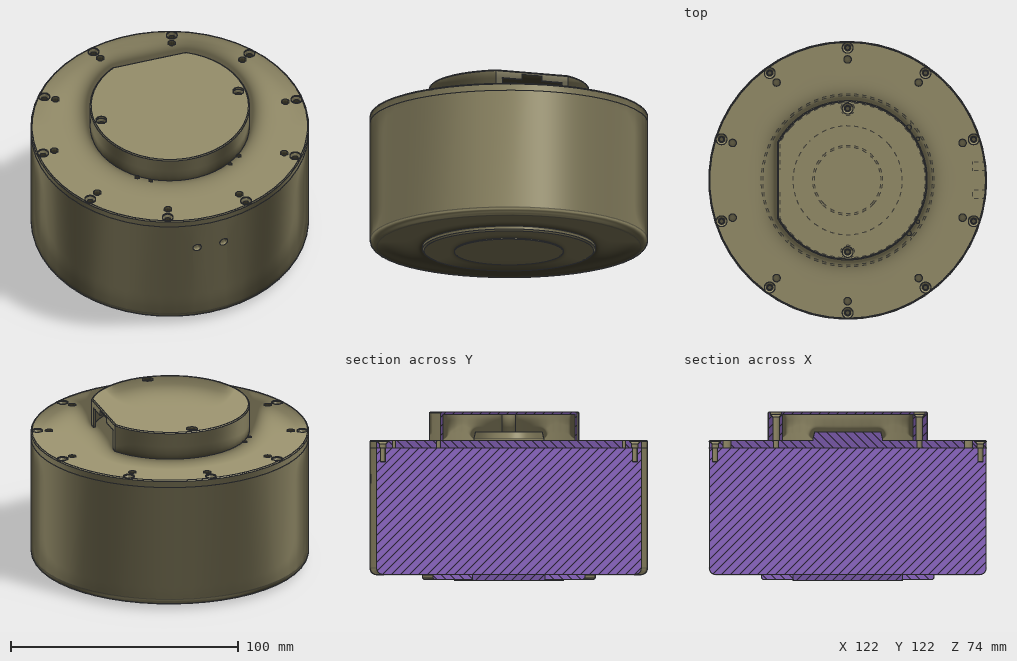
import cadquery as cq
import math

overall_height = 74.0
cap_projection = 0.5
flange_thickness = 2.1
lid_thickness = 3.3
cover_height = 12.5
flange_bottom = cap_projection
housing_bottom = flange_bottom + flange_thickness
lid_top = overall_height - cover_height
lid_bottom = lid_top - lid_thickness

body_diameter = 122.0
housing_fillet = 3.0
edge_chamfer = 0.5
side_hole_diameter = 3.7
side_hole_height = 44.8
side_hole_y = 6.1
side_hole_depth = 6.1

countersink_diameter = 4.8
clearance_diameter = 2.7
lid_sink_depth = 0.5
cover_sink_depth = 1.2
thread_diameter = 2.0
thread_depth = 6.1
rim_hole_count = 10
rim_screw_radius = 58.2
rim_start_angle = 90.0

mounting_hole_diameter = 3.3
mounting_hole_radius = 53.1
large_locating_diameter = 2.1
large_locating_x = 27.0
large_locating_y = 23.3
small_locating_diameter = 1.6
small_locating_x = 30.9
small_locating_y = 18.2

hub_base_diameter = 30.7
hub_top_diameter = 29.3
hub_base_height = 0.7
hub_height = 3.7

cover_diameter = 70.0
cover_wall = 1.0
cover_roof = 1.2
cover_flat_x = -30.7
cover_screw_y = 31.5
cover_post_diameter = 6.0
opening_width = 27.7
opening_height = cover_height - 3.4
key_width = 9.3
key_height = cover_height - cover_roof

flange_diameter = 76.0
flange_chamfer = 0.7
cap_diameter = 48.0


def disc(diameter, bottom, height):
    return cq.Workplane("XY").workplane(offset=bottom).circle(diameter / 2).extrude(height)


def rim_points(radius):
    points = []
    for index in range(rim_hole_count):
        angle = math.radians(rim_start_angle + index * 360.0 / rim_hole_count)
        points.append((radius * math.cos(angle), radius * math.sin(angle)))
    return points


def drill_down(body, points, diameter, top, depth):
    holes = cq.Workplane("XY").workplane(offset=top).pushPoints(points).circle(diameter / 2).extrude(-depth)
    return body.cut(holes)


def countersink(body, points, top, mouth_depth):
    """Cuts a straight mouth with a 90 degree cone below it at each point."""
    body = drill_down(body, points, countersink_diameter, top, mouth_depth)
    cone_depth = (countersink_diameter - clearance_diameter) / 2
    for x, y in points:
        cone = cq.Solid.makeCone(
            countersink_diameter / 2,
            clearance_diameter / 2,
            cone_depth,
            cq.Vector(x, y, top - mouth_depth),
            cq.Vector(0, 0, -1),
        )
        body = body.cut(cq.Workplane(obj=cone))
    return body


def mirrored_in_y(x, y):
    return [(x, y), (x, -y)]


rim_screw_points = rim_points(rim_screw_radius)
cover_screw_points = mirrored_in_y(0, cover_screw_y)


def make_housing():
    housing = disc(body_diameter, housing_bottom, lid_bottom - housing_bottom)
    housing = housing.faces("<Z").edges().fillet(housing_fillet)
    housing = drill_down(housing, rim_screw_points, thread_diameter, lid_bottom, thread_depth)
    side_hole = (
        cq.Workplane("YZ")
        .workplane(offset=body_diameter / 2)
        .pushPoints([(-side_hole_y, side_hole_height), (side_hole_y, side_hole_height)])
        .circle(side_hole_diameter / 2)
        .extrude(-side_hole_depth)
    )
    return housing.cut(side_hole)


def make_hub():
    base = disc(hub_base_diameter, lid_top, hub_base_height)
    taper = cq.Solid.makeCone(
        hub_base_diameter / 2,
        hub_top_diameter / 2,
        hub_height - hub_base_height,
        cq.Vector(0, 0, lid_top + hub_base_height),
    )
    return base.union(cq.Workplane(obj=taper))


def make_lid():
    lid = disc(body_diameter, lid_bottom, lid_thickness)
    lid = lid.faces(">Z").edges().chamfer(edge_chamfer)
    lid = lid.union(make_hub())
    lid = drill_down(lid, rim_screw_points, clearance_diameter, lid_top, lid_thickness)
    lid = countersink(lid, rim_screw_points, lid_top, lid_sink_depth)
    lid = drill_down(lid, rim_points(mounting_hole_radius), mounting_hole_diameter, lid_top, lid_thickness)
    lid = drill_down(lid, cover_screw_points, thread_diameter, lid_top, lid_thickness)
    large_points = mirrored_in_y(large_locating_x, large_locating_y)
    lid = drill_down(lid, large_points, large_locating_diameter, lid_top, lid_thickness)
    small_points = mirrored_in_y(small_locating_x, small_locating_y)
    return drill_down(lid, small_points, small_locating_diameter, lid_top, lid_thickness)


def flat_sided_disc(radius, flat_x, height):
    """A disc on the lid, cut off at flat_x by a flat facing -X."""
    half_flat = math.sqrt(radius**2 - flat_x**2)
    return (
        cq.Workplane("XY")
        .workplane(offset=lid_top)
        .moveTo(flat_x, -half_flat)
        .threePointArc((radius, 0), (flat_x, half_flat))
        .close()
        .extrude(height)
    )


def cover_opening(width, height):
    """A block through the flat wall of the cover, standing on the lid."""
    block = cq.Workplane("XY").box(2 * cover_wall, width, height, centered=(True, True, False))
    return block.translate((cover_flat_x + cover_wall / 2, 0, lid_top))


def make_cover():
    radius = cover_diameter / 2
    cover = flat_sided_disc(radius, cover_flat_x, cover_height)
    cover = cover.faces(">Z").edges().chamfer(edge_chamfer)
    cavity = flat_sided_disc(radius - cover_wall, cover_flat_x + cover_wall, cover_height - cover_roof)
    cover = cover.cut(cavity)
    for x, y in cover_screw_points:
        post = disc(cover_post_diameter, lid_top, cover_height - cover_roof).translate((x, y, 0))
        cover = cover.union(post)
    cover = drill_down(cover, cover_screw_points, clearance_diameter, overall_height, cover_height)
    cover = countersink(cover, cover_screw_points, overall_height, cover_sink_depth)
    cover = cover.cut(cover_opening(opening_width, opening_height))
    return cover.cut(cover_opening(key_width, key_height))


def make_flange():
    flange = disc(flange_diameter, flange_bottom, flange_thickness)
    flange = flange.faces("<Z").edges().chamfer(flange_chamfer)
    return flange.cut(disc(cap_diameter, flange_bottom, flange_thickness))


def make_cap():
    return disc(cap_diameter, 0, housing_bottom)


housing = make_housing()
lid = make_lid()
cover = make_cover()
flange = make_flange()
cap = make_cap()

result = cq.Compound.makeCompound([housing.val(), lid.val(), cover.val(), flange.val(), cap.val()])